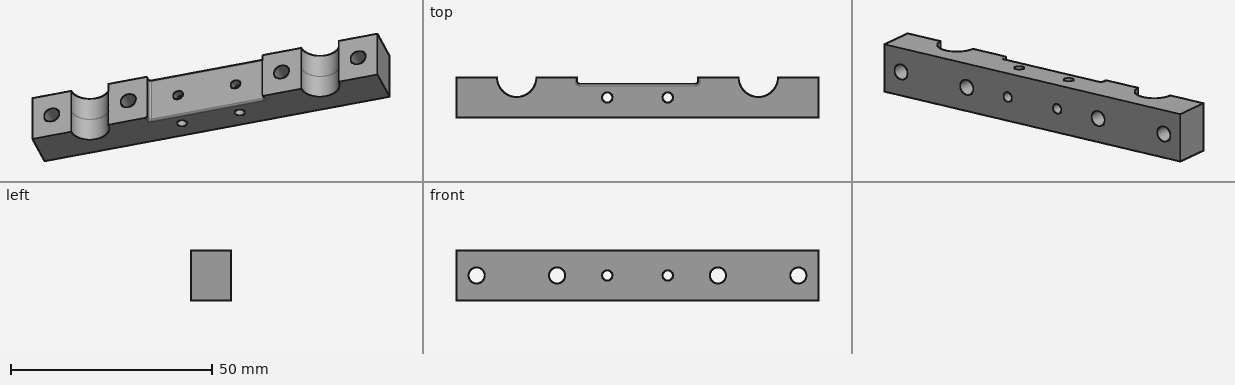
import cadquery as cq

length = 90.0
depth = 10.0
height = 12.5
back_y = depth / 2

large_hole_diameter = 4.0
small_hole_diameter = 2.5
large_hole_pitch = 20.0
small_hole_spacing = 15.0

notch_radius = 4.9
notch_spacing = 60.0

relief_length = 30.0
relief_depth = 1.5
relief_corner_radius = 0.5
relief_edge_radius = 0.5


def make_bar():
    return cq.Workplane("XY").box(length, depth, height)


def through_holes(plane, positions, diameter):
    """Cylinders crossing the whole bar, centred on its middle plane."""
    points = [(x, 0) for x in positions]
    return cq.Workplane(plane).pushPoints(points).circle(diameter / 2).extrude(length / 2, both=True)


def make_notches():
    centres = [(side * notch_spacing / 2, back_y) for side in (-1, 1)]
    return cq.Workplane("XY").pushPoints(centres).circle(notch_radius).extrude(height, both=True)


def make_relief():
    """Block with rounded inner corners; its back half lies outside the bar."""
    return (
        cq.Workplane("XY")
        .center(0, back_y)
        .rect(relief_length, 2 * relief_depth)
        .extrude(height, both=True)
        .edges("|Z")
        .fillet(relief_corner_radius)
    )


def round_relief_edges(bar):
    """Round the upper and lower rims of the relief."""
    floor_y = back_y - relief_depth
    for z_end in (height / 2, -height / 2):
        rim_point = (0, floor_y, z_end)
        bar = bar.edges(cq.selectors.NearestToPointSelector(rim_point)).fillet(relief_edge_radius)
    return bar


large_hole_positions = [n * large_hole_pitch for n in (-2, -1, 1, 2)]
small_hole_positions = [side * small_hole_spacing / 2 for side in (-1, 1)]

bar = make_bar().cut(make_relief())
bar = round_relief_edges(bar)
bar = bar.cut(make_notches())
bar = bar.cut(through_holes("XZ", large_hole_positions, large_hole_diameter))
bar = bar.cut(through_holes("XZ", small_hole_positions, small_hole_diameter))
bar = bar.cut(through_holes("XY", small_hole_positions, small_hole_diameter))

result = bar